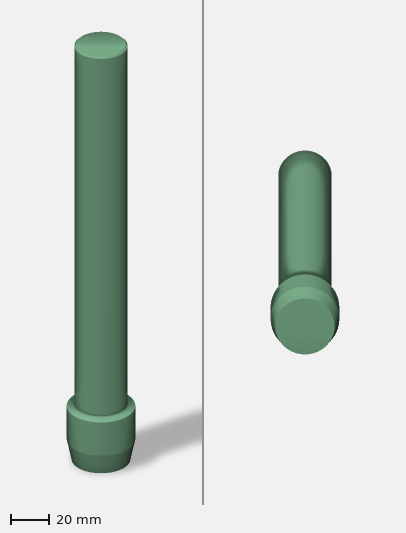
import cadquery as cq

pillar_length = 250.0
pillar_radius = 14.0
pillar_top_chamfer = 1.0

sleeve_radius = 18.0
sleeve_nose_end_radius = 15.5
sleeve_nose_height = 12.0
sleeve_straight_height = 20.0
sleeve_top_bevel_height = 1.5

sleeve_straight_top = sleeve_nose_height + sleeve_straight_height
sleeve_top = sleeve_straight_top + sleeve_top_bevel_height


def make_pillar():
    """Round bar with a chamfered top edge."""
    return (
        cq.Workplane("XY")
        .circle(pillar_radius)
        .extrude(pillar_length)
        .faces(">Z")
        .chamfer(pillar_top_chamfer)
    )


def make_sleeve():
    """Revolve the half section: tapered nose, straight wall, bevelled top, plain through bore."""
    return (
        cq.Workplane("XZ")
        .moveTo(pillar_radius, 0)
        .lineTo(sleeve_nose_end_radius, 0)
        .lineTo(sleeve_radius, sleeve_nose_height)
        .lineTo(sleeve_radius, sleeve_straight_top)
        .lineTo(pillar_radius, sleeve_top)
        .close()
        .revolve(360, (0, 0, 0), (0, 1, 0))
    )


pillar = make_pillar()
sleeve = make_sleeve()

result = cq.Compound.makeCompound([pillar.val(), sleeve.val()])